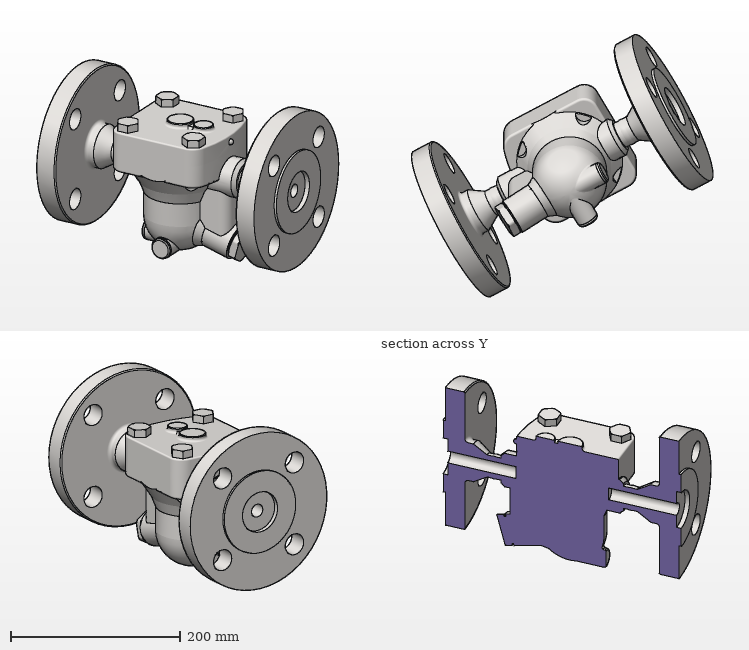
import cadquery as cq
import math

overall_length = 306.0
half_length = overall_length / 2
flange_dia = 195.0
raised_face_dia = 102.0
raised_face_height = 3.0
flange_inner_x = 124.5
flange_edge_chamfer = 1.5
flange_hole_dia = 26.0
flange_hole_count = 4
flange_hole_start_angle = 45.0
flange_bolt_circle = 145.0
socket_dia = 50.0
socket_depth = 6.0
bore_dia = 16.0
bore_end_x = 60.0
neck_fillet = 4.0
neck_dia = 54.0
neck_end_x = 113.8
pipe_dia = 32.0
pipe_start_x = 96.3
weld_outer_x = 90.6
weld_inner_x = 84.6
weld_bead_height = 0.5
port_face_x = 78.8
port_chamfer = 4.7
port_dia = 48.0

body_x = -10.0
cover_half_width = 62.5
cover_left_x = body_x - cover_half_width
cover_right_x = 59.0
cover_bow_radius = 165.0
cover_left_corner_radius = 17.2
cover_right_corner_radius = 19.0
cover_top_z = 52.0
joint_z = 30.0
body_flange_bottom_z = 1.5
cover_edge_fillet = 2.0
body_flange_fillet = 3.0

bolt_offset = cover_half_width - cover_left_corner_radius
bolt_across_flats = 24.0
bolt_head_height = 9.6
bolt_head_chamfer = 1.0
spotface_dia = 21.0
spotface_top_z = 0.0
spotface_bottom_z = -25.0

main_boss_dia = 32.0
small_boss_dia = 24.0
small_boss_x = 21.8
boss_height = 6.3
boss_fillet = 3.0
boss_top_chamfer = 1.0
boss_web_width = 14.0

pip_radius = 3.7
pip_z = 43.8

body_radius = 44.0
body_bottom_z = -106.45
dome_center_z = body_bottom_z + body_radius
cone_end_z = -32.7
cone_mid_z = -18.5
cone_mid_radius = 49.5
cone_top_z = 6.5
cone_top_radius = 66.0

plug_dia = 26.0
plug_tip_dia = 25.0
plug_tip_length = 4.0
plug_z = -92.6
plug_reach = 46.5
plug_chamfer = 1.5
plug_blend_radius = 2.5

rib_half_width = 20.0
rib_end_x = 67.1
rib_corner_radius = 12.0

branch_angle = 15.0
branch_dia = 44.0
branch_end_x = 67.8
branch_end_z = -83.1
branch_length = 48.5
flare_length = 13.0
flare_extra_radius = 6.0
cap_disc_dia = 38.0
cap_disc_height = 1.5
cap_across_flats = 38.0
cap_corner_radius = 4.0
cap_height = 10.0
cap_chamfer = 1.5

box_margin = 1.0


def cylinder_x(dia, x_start, x_end, z=0.0):
    return cq.Workplane("YZ", origin=(x_start, 0, z)).circle(dia / 2).extrude(x_end - x_start)


def line_end():
    """Flange, tapered neck, weld bead and port on the +X side."""
    flange_outer_x = half_length - raised_face_height
    neck_radius = neck_dia / 2
    pipe_radius = pipe_dia / 2
    weld_mid_x = (weld_outer_x + weld_inner_x) / 2
    profile = (
        cq.Workplane("XY")
        .moveTo(body_x, 0)
        .lineTo(half_length, 0)
        .lineTo(half_length, raised_face_dia / 2)
        .lineTo(flange_outer_x, raised_face_dia / 2)
        .lineTo(flange_outer_x, flange_dia / 2)
        .lineTo(flange_inner_x + flange_edge_chamfer, flange_dia / 2)
        .lineTo(flange_inner_x, flange_dia / 2 - flange_edge_chamfer)
        .lineTo(flange_inner_x, neck_radius + neck_fillet)
        .radiusArc((flange_inner_x - neck_fillet, neck_radius), neck_fillet)
        .lineTo(neck_end_x, neck_radius)
        .lineTo(pipe_start_x, pipe_radius)
        .lineTo(weld_outer_x, pipe_radius)
        .threePointArc((weld_mid_x, pipe_radius + weld_bead_height), (weld_inner_x, pipe_radius))
        .lineTo(port_face_x, pipe_radius)
        .lineTo(port_face_x, port_dia / 2 - port_chamfer)
        .lineTo(port_face_x - port_chamfer, port_dia / 2)
        .lineTo(body_x, port_dia / 2)
        .close()
    )
    return profile.revolve(360, (0, 0, 0), (1, 0, 0))


def line_end_holes():
    """Socket, blind bore and the four flange bolt holes on the +X side."""
    socket = cylinder_x(socket_dia, half_length - socket_depth, half_length)
    bore = cylinder_x(bore_dia, bore_end_x, half_length)
    holes = (
        cq.Workplane("YZ", origin=(flange_inner_x, 0, 0))
        .polarArray(flange_bolt_circle / 2, flange_hole_start_angle, 360, flange_hole_count)
        .circle(flange_hole_dia / 2)
        .extrude(half_length - flange_inner_x)
    )
    return socket.union(bore).union(holes)


def cover_block(z_bottom, z_top):
    """Rounded square with its +X side bowed outwards."""
    height = z_top - z_bottom
    bow_center_x = cover_right_x - cover_bow_radius
    length = cover_right_x - cover_left_x
    bow = cq.Workplane("XY", origin=(bow_center_x, 0, z_bottom)).circle(cover_bow_radius).extrude(height)
    blank = (
        cq.Workplane("XY", origin=(cover_left_x, -cover_half_width, z_bottom))
        .rect(length, 2 * cover_half_width, centered=False)
        .extrude(height)
    )
    outline = blank.intersect(bow)
    outline = outline.edges("|Z and <X").fillet(cover_left_corner_radius)
    right_corners = cq.selectors.BoxSelector(
        (body_x, -2 * cover_half_width, z_bottom - box_margin),
        (cover_right_x - box_margin, 2 * cover_half_width, z_top + box_margin),
    )
    return outline.edges("|Z").edges(right_corners).fillet(cover_right_corner_radius)


def body():
    profile = (
        cq.Workplane("XZ")
        .moveTo(0, joint_z)
        .lineTo(0, body_bottom_z)
        .radiusArc((body_radius, dome_center_z), -body_radius)
        .lineTo(body_radius, cone_end_z)
        .lineTo(cone_mid_radius, cone_mid_z)
        .lineTo(cone_top_radius, cone_top_z)
        .lineTo(cone_top_radius, joint_z)
        .close()
    )
    return profile.revolve(360, (0, 0, 0), (0, 1, 0)).translate((body_x, 0, 0))


def bolt_sites():
    """Bolt positions with the turn of each hexagon."""
    for side_x in (-1, 1):
        for side_y in (-1, 1):
            turn = 0 if side_x == side_y else 30
            yield body_x + side_x * bolt_offset, side_y * bolt_offset, turn


def hex_prism(across_flats, height, chamfer, chamfered_faces=">Z", corner_radius=0.0):
    """Hexagonal prism along +Z with its corners turned off at the chosen ends."""
    corner_dia = across_flats / math.cos(math.radians(30))
    turned = cq.Workplane("XY").circle(corner_dia / 2).extrude(height).faces(chamfered_faces).chamfer(chamfer)
    prism = cq.Workplane("XY").polygon(6, corner_dia).extrude(height)
    if corner_radius > 0:
        prism = prism.edges("|Z").fillet(corner_radius)
    return prism.intersect(turned)


def bolt_heads():
    for x, y, turn in bolt_sites():
        head = hex_prism(bolt_across_flats, bolt_head_height, bolt_head_chamfer)
        yield head.rotate((0, 0, 0), (0, 0, 1), turn).translate((x, y, cover_top_z))


def bolt_spotfaces():
    points = [(x, y) for x, y, turn in bolt_sites()]
    return (
        cq.Workplane("XY", origin=(0, 0, spotface_bottom_z))
        .pushPoints(points)
        .circle(spotface_dia / 2)
        .extrude(spotface_top_z - spotface_bottom_z)
    )


def turned_boss(dia, x):
    radius = dia / 2
    profile = (
        cq.Workplane("XZ")
        .moveTo(0, 0)
        .lineTo(radius + boss_fillet, 0)
        .radiusArc((radius, boss_fillet), boss_fillet)
        .lineTo(radius, boss_height - boss_top_chamfer)
        .lineTo(radius - boss_top_chamfer, boss_height)
        .lineTo(0, boss_height)
        .close()
    )
    return profile.revolve(360, (0, 0, 0), (0, 1, 0)).translate((x, 0, cover_top_z))


def cover_bosses():
    half_width = boss_web_width / 2
    web = (
        cq.Workplane("YZ", origin=(body_x, 0, cover_top_z))
        .moveTo(-half_width - boss_fillet, 0)
        .radiusArc((-half_width, boss_fillet), -boss_fillet)
        .lineTo(half_width, boss_fillet)
        .radiusArc((half_width + boss_fillet, 0), -boss_fillet)
        .close()
        .extrude(small_boss_x - body_x)
    )
    return turned_boss(main_boss_dia, body_x).union(turned_boss(small_boss_dia, small_boss_x)).union(web)


def cover_pip():
    return cq.Workplane("XY").sphere(pip_radius).translate((cover_right_x, 0, pip_z))


def drain_plugs():
    """Two equal plugs, towards -X and -Y, each ending in a slightly smaller tip."""
    plug = cylinder_x(plug_dia, plug_tip_length - plug_reach, 0)
    tip = cylinder_x(plug_tip_dia, -plug_reach, 0).faces("<X").chamfer(plug_chamfer)
    plug = plug.union(tip)
    front_plug = plug.rotate((0, 0, 0), (0, 0, 1), 90)
    return plug.union(front_plug).translate((body_x, 0, plug_z))


def blend_side_plug(casting):
    """Fillet the seam where the -X plug meets the dome."""
    plug_radius = plug_dia / 2
    seam = cq.selectors.BoxSelector(
        (body_x - plug_reach + plug_tip_length + box_margin, -plug_radius, body_bottom_z - box_margin),
        (body_x - plug_radius, plug_radius, plug_z + plug_dia),
    )
    return casting.edges(seam).edges("not %CIRCLE").fillet(plug_blend_radius)


def rib():
    return (
        cq.Workplane("XY", origin=(0, 0, branch_end_z))
        .moveTo(body_x, -rib_half_width)
        .lineTo(rib_end_x, -rib_half_width)
        .lineTo(rib_end_x, rib_half_width)
        .lineTo(body_x, rib_half_width)
        .close()
        .extrude(-branch_end_z)
        .edges("|Z and >X")
        .fillet(rib_corner_radius)
    )


def strainer_branch():
    """Sloping barrel with a flared root, closed by a hexagon cap; built along +Z, then tilted."""
    radius = branch_dia / 2
    flare_end = flare_length - branch_length
    barrel = (
        cq.Workplane("XZ")
        .moveTo(0, -branch_length)
        .lineTo(radius + flare_extra_radius, -branch_length)
        .lineTo(radius, flare_end)
        .lineTo(radius, 0)
        .lineTo(cap_disc_dia / 2, 0)
        .lineTo(cap_disc_dia / 2, cap_disc_height)
        .lineTo(0, cap_disc_height)
        .close()
        .revolve(360, (0, 0, 0), (0, 1, 0))
    )
    cap = hex_prism(cap_across_flats, cap_height, cap_chamfer, "<Z or >Z", cap_corner_radius)
    branch = barrel.union(cap.translate((0, 0, cap_disc_height)))
    return branch.rotate((0, 0, 0), (0, 1, 0), 90 + branch_angle).translate((branch_end_x, 0, branch_end_z))


right_end = line_end()
end_holes = line_end_holes()
body_flange = cover_block(body_flange_bottom_z, joint_z).faces("<Z").edges().fillet(body_flange_fillet)

casting = body().intersect(cover_block(body_bottom_z, joint_z))
casting = blend_side_plug(casting.union(drain_plugs())).cut(bolt_spotfaces())
casting = casting.union(body_flange).union(rib())
casting = casting.union(strainer_branch())
casting = casting.union(right_end).union(right_end.mirror("YZ"))
casting = casting.cut(end_holes).cut(end_holes.mirror("YZ"))

cover = cover_block(joint_z, cover_top_z).faces(">Z").edges().fillet(cover_edge_fillet)
cover = cover.union(cover_bosses()).union(cover_pip())
for bolt_head in bolt_heads():
    cover = cover.union(bolt_head)

result = casting.union(cover, clean=False)